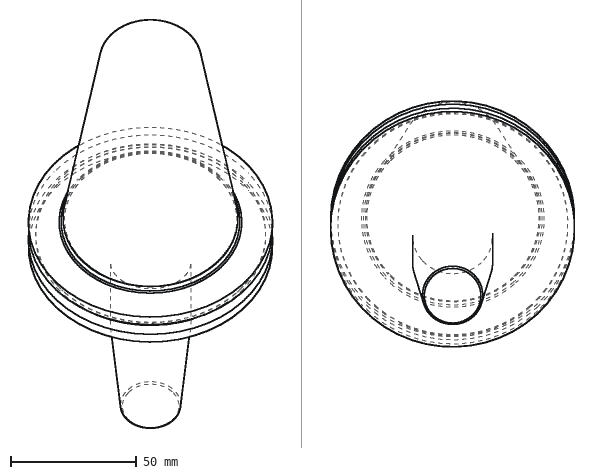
import cadquery as cq
import math


gauge_radius = 69.85 / 2
taper_length = 101.75
taper_slope = 7 / 24 / 2
shank_end_radius = gauge_radius - taper_length * taper_slope
shank_end_fillet = 2.5

collar_height = 1.0
undercut_radius = 34.4
undercut_chamfer = gauge_radius - undercut_radius
undercut_curve_radius = 1.3
undercut_lip_radius = 36.5

flange_radius = 97.5 / 2
flange_top = -3.2
flange_bottom = -19.1
groove_center = -11.1
groove_mouth_width = 6.2
groove_floor_radius = 45.95
groove_wall_angle = math.radians(60)
groove_floor_fillet = 1.0
edge_match_tolerance = 0.01

nose_end = -120.0
neck_radius = 16.0
neck_fillet = 10.0
nose_end_radius = 12.0
nose_angle = math.radians(4.5)
nose_chamfer = 0.7
cone_start = nose_end + (neck_radius - nose_end_radius) / math.tan(nose_angle)


def revolve_profile(profile):
    """Turn a closed (radius, height) outline once around the Z axis."""
    return profile.close().revolve(360, (0, 0, 0), (0, 1, 0))


def make_shank():
    wall_top = -collar_height - undercut_chamfer
    curve_mid = undercut_curve_radius * (1 - math.sqrt(0.5))
    curve_drop = undercut_curve_radius * math.sqrt(0.5)
    profile = (
        cq.Workplane("XZ")
        .moveTo(0, flange_top)
        .lineTo(undercut_lip_radius, flange_top)
        .lineTo(undercut_radius + undercut_curve_radius, wall_top - undercut_curve_radius)
        .threePointArc(
            (undercut_radius + curve_mid, wall_top - curve_drop),
            (undercut_radius, wall_top),
        )
        .lineTo(gauge_radius, -collar_height)
        .lineTo(gauge_radius, 0)
        .lineTo(shank_end_radius, taper_length)
        .lineTo(0, taper_length)
    )
    return revolve_profile(profile).faces(">Z").edges().fillet(shank_end_fillet)


def make_flange():
    half_mouth = groove_mouth_width / 2
    groove_depth = flange_radius - groove_floor_radius
    half_floor = half_mouth - groove_depth / math.tan(groove_wall_angle)
    profile = (
        cq.Workplane("XZ")
        .moveTo(0, flange_bottom)
        .lineTo(flange_radius, flange_bottom)
        .lineTo(flange_radius, groove_center - half_mouth)
        .lineTo(groove_floor_radius, groove_center - half_floor)
        .lineTo(groove_floor_radius, groove_center + half_floor)
        .lineTo(flange_radius, groove_center + half_mouth)
        .lineTo(flange_radius, flange_top)
        .lineTo(0, flange_top)
    )
    flange = revolve_profile(profile)
    floor_edges = [
        edge
        for edge in flange.edges("%CIRCLE").vals()
        if abs(edge.radius() - groove_floor_radius) < edge_match_tolerance
    ]
    return flange.newObject(floor_edges).fillet(groove_floor_fillet)


def make_nose():
    fillet_mid = neck_fillet * (1 - math.sqrt(0.5))
    profile = (
        cq.Workplane("XZ")
        .moveTo(0, nose_end)
        .lineTo(nose_end_radius, nose_end)
        .lineTo(neck_radius, cone_start)
        .lineTo(neck_radius, flange_bottom - neck_fillet)
        .threePointArc(
            (neck_radius + fillet_mid, flange_bottom - fillet_mid),
            (neck_radius + neck_fillet, flange_bottom),
        )
        .lineTo(0, flange_bottom)
    )
    return revolve_profile(profile).faces("<Z").edges().chamfer(nose_chamfer)


result = make_flange().union(make_shank()).union(make_nose())